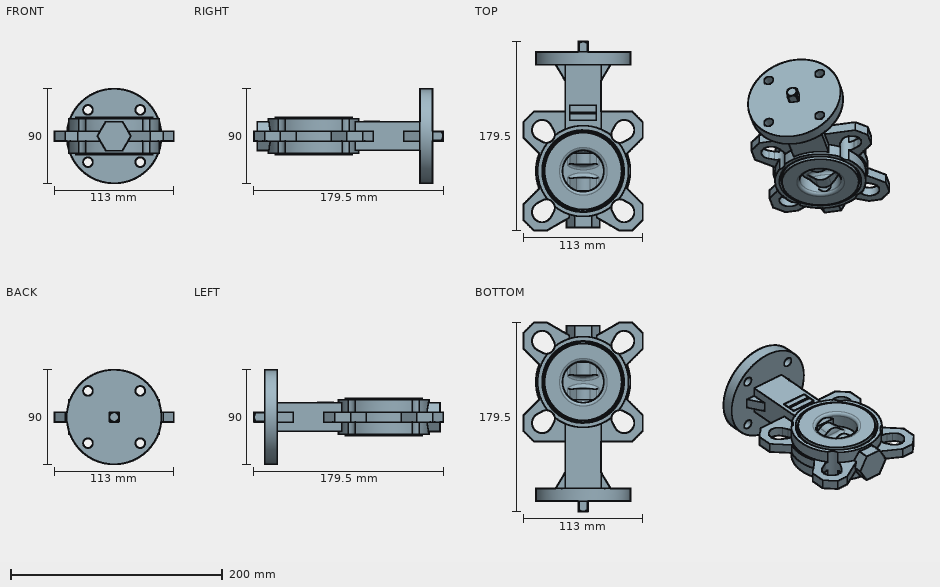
import cadquery as cq
import math


plate_thickness = 9.5
plate_radius = 44.9
lug_reach = 56.5
lug_chamfer = 10.0
lug_inner_y = 31.5
lower_edge_x = 34.5
lower_edge_angle = 30.0

outer_bolt_circle_radius = 55.0
outer_bolt_radius = 9.5
inner_bolt_circle_radius = 49.2
inner_bolt_radius = 7.9

body_radius = 43.0
body_height = 32.8
liner_height = 35.2
liner_radius = 36.5
groove_floor_radius = 37.7
groove_outer_radius = 39.0
groove_depth = 3.6
bore_radius = 19.5
bore_rounding = 3.0

stem_flat_distance = 16.9
lower_flat_distance = 18.7
flat_half_height = 11.3
flat_run_out_height = 14.4

disc_thickness = 4.3
hub_crown_radius = 10.2
hub_crown_half_width = 6.5
hub_dome_radius = 14.4
hub_shoulder_y = 10.5
hub_tip_y = 4.7
hub_foot_fillet = 3.8

neck_width = 34.0
neck_thickness = 27.3
flange_diameter = 90.0
flange_bottom_y = 100.7
flange_thickness = 12.2
flange_hole_offset = 24.8
flange_hole_diameter = 9.0
rib_half_width = 26.0
rib_bottom_y = 85.5
stem_top_y = 123.0
stem_square = 9.5
stem_corner_radius = 6.1
stem_chamfer = 1.6

name_plate_width = 25.1
name_plate_length = 6.5
name_plate_height = 0.4
name_plate_centres_y = (59.0, 51.2)

hex_corner_diameter = 31.8
hex_end_y = -53.5

flange_top_y = flange_bottom_y + flange_thickness


def disc_z(radius, height):
    """Cylinder along Z, centred on the origin."""
    return cq.Workplane("XY").circle(radius).extrude(height / 2, both=True)


def plane_y(y):
    """Plane across the stem axis, with its normal along +Y."""
    return cq.Workplane(cq.Plane((0, y, 0), xDir=(1, 0, 0), normal=(0, 1, 0)))


def plate_slab(points):
    """Outline in XY, extruded to the thickness of the lug plate."""
    return cq.Workplane("XY").polyline(points).close().extrude(plate_thickness / 2, both=True)


def make_lug_plate():
    chamfer_start = lug_reach - lug_chamfer
    lower_edge_y = -lug_reach + lower_edge_x * math.tan(math.radians(lower_edge_angle))
    side = [
        (chamfer_start, lug_reach),
        (lug_reach, chamfer_start),
        (lug_reach, lug_inner_y),
        (lug_reach - lug_inner_y, 0),
        (lug_reach, -lug_inner_y),
        (lug_reach, -chamfer_start),
        (chamfer_start, -lug_reach),
        (lower_edge_x, -lug_reach),
    ]
    mirrored_side = [(-x, y) for x, y in reversed(side)]
    lugs = plate_slab(side + [(0, lower_edge_y)] + mirrored_side)
    return lugs.union(disc_z(plate_radius, plate_thickness))


def make_bolt_slots():
    spacing = outer_bolt_circle_radius - inner_bolt_circle_radius
    tangent_angle = math.acos((outer_bolt_radius - inner_bolt_radius) / spacing)
    tangent_x = math.cos(tangent_angle)
    tangent_y = math.sin(tangent_angle)
    inner_x = inner_bolt_circle_radius - inner_bolt_radius * tangent_x
    inner_y = inner_bolt_radius * tangent_y
    outer_x = outer_bolt_circle_radius - outer_bolt_radius * tangent_x
    outer_y = outer_bolt_radius * tangent_y
    slot = (
        cq.Workplane("XY")
        .moveTo(inner_x, -inner_y)
        .lineTo(outer_x, -outer_y)
        .threePointArc((outer_bolt_circle_radius + outer_bolt_radius, 0), (outer_x, outer_y))
        .lineTo(inner_x, inner_y)
        .threePointArc((inner_bolt_circle_radius - inner_bolt_radius, 0), (inner_x, -inner_y))
        .close()
        .extrude(liner_height, both=True)
    )
    slots = cq.Workplane("XY")
    for angle in (45, 135, 225, 315):
        slots = slots.union(slot.rotate((0, 0, 0), (0, 0, 1), angle))
    return slots


def make_body_ring():
    rim = body_height / 2
    face = liner_height / 2
    floor = rim - groove_depth
    half_profile = [
        (liner_radius, face),
        (liner_radius, floor),
        (groove_floor_radius, floor),
        (groove_outer_radius, rim),
        (body_radius, rim),
    ]
    mirrored = [(r, -z) for r, z in reversed(half_profile)]
    profile = [(0, face)] + half_profile + mirrored + [(0, -face)]
    return cq.Workplane("XZ").polyline(profile).close().revolve(360, (0, 0), (0, 1))


def make_bore():
    bore = disc_z(bore_radius, liner_height)
    face = liner_height / 2
    straight = face - bore_rounding
    mouth_radius = bore_radius + bore_rounding
    middle = bore_rounding * (1 - math.sqrt(0.5))
    mouth = (
        cq.Workplane("XZ")
        .moveTo(0, straight)
        .lineTo(bore_radius, straight)
        .threePointArc((bore_radius + middle, face - middle), (mouth_radius, face))
        .lineTo(0, face)
        .close()
        .revolve(360, (0, 0), (0, 1))
    )
    return bore.union(mouth).union(mouth.mirror("XY"))


def make_bore_flat(distance):
    """Pad on the +Y side of the bore, with sloping run-outs towards both faces."""
    back = bore_radius + bore_rounding
    profile = [
        (distance, -flat_half_height),
        (distance, flat_half_height),
        (bore_radius, flat_run_out_height),
        (back, flat_half_height),
        (back, -flat_half_height),
        (bore_radius, -flat_run_out_height),
    ]
    return cq.Workplane("YZ").polyline(profile).close().extrude(bore_radius, both=True)


def make_hub():
    """Hub on the +Y side: crowned section with sloping flanks, ending in a dome near the middle."""
    flank_angle = math.asin(hub_crown_half_width / hub_crown_radius)
    flank_top_z = hub_crown_radius * math.cos(flank_angle)
    flank_bottom_x = hub_crown_radius / math.sin(flank_angle)
    section = (
        plane_y(0)
        .moveTo(flank_bottom_x, 0)
        .lineTo(hub_crown_half_width, flank_top_z)
        .threePointArc((0, hub_crown_radius), (-hub_crown_half_width, flank_top_z))
        .lineTo(-flank_bottom_x, 0)
        .lineTo(-hub_crown_half_width, -flank_top_z)
        .threePointArc((0, -hub_crown_radius), (hub_crown_half_width, -flank_top_z))
        .close()
        .extrude(bore_radius)
    )
    dome = (
        cq.Workplane("XY")
        .moveTo(hub_dome_radius, bore_radius)
        .lineTo(hub_dome_radius, hub_shoulder_y)
        .ellipseArc(
            hub_dome_radius,
            hub_shoulder_y - hub_tip_y,
            angle1=270,
            angle2=360,
            startAtCurrent=True,
            sense=-1,
        )
        .lineTo(0, bore_radius)
        .close()
        .revolve(360, (0, 0), (0, 1))
    )
    return section.intersect(dome)


def make_disc():
    """Disc closing the bore; a fillet runs around the foot of each hub on both faces."""
    hub = make_hub()
    disc = disc_z(bore_radius + bore_rounding, disc_thickness).union(hub).union(hub.mirror("XZ"))
    face = disc_thickness / 2
    margin = 0.2
    reach = bore_radius - margin
    for z in (-face, face):
        feet = cq.selectors.BoxSelector(
            (-reach, -reach, z - margin), (reach, reach, z + margin)
        )
        disc = disc.edges(feet).fillet(hub_foot_fillet)
    return disc


def make_neck():
    return plane_y(0).rect(neck_width, neck_thickness).extrude(flange_bottom_y)


def make_ribs():
    half_neck = neck_width / 2
    return plate_slab([
        (-rib_half_width, flange_bottom_y),
        (rib_half_width, flange_bottom_y),
        (half_neck, rib_bottom_y),
        (-half_neck, rib_bottom_y),
    ])


def make_name_plates():
    return (
        cq.Workplane("XY", origin=(0, 0, neck_thickness / 2))
        .pushPoints([(0, y) for y in name_plate_centres_y])
        .rect(name_plate_width, name_plate_length)
        .extrude(name_plate_height)
    )


def make_flange():
    hole_spacing = 2 * flange_hole_offset
    return (
        plane_y(flange_bottom_y)
        .circle(flange_diameter / 2)
        .extrude(flange_thickness)
        .faces(">Y")
        .workplane(origin=(0, flange_top_y, 0))
        .rect(hole_spacing, hole_spacing, forConstruction=True)
        .vertices()
        .hole(flange_hole_diameter)
    )


def make_stem():
    length = stem_top_y - flange_top_y
    square = plane_y(flange_top_y).rect(stem_square, stem_square).extrude(length)
    turned = (
        plane_y(flange_top_y)
        .circle(stem_corner_radius)
        .extrude(length)
        .faces(">Y")
        .chamfer(stem_chamfer)
    )
    return square.intersect(turned)


def make_hex_plug():
    return plane_y(hex_end_y).polygon(6, hex_corner_diameter).extrude(-hex_end_y)


stem_flat = make_bore_flat(stem_flat_distance)
lower_flat = make_bore_flat(lower_flat_distance).mirror("XZ")

housing = (
    make_lug_plate()
    .union(make_body_ring())
    .union(make_hex_plug())
    .union(make_neck())
    .union(make_ribs())
    .union(make_name_plates())
    .cut(make_bolt_slots())
    .cut(make_bore().cut(stem_flat).cut(lower_flat))
)

result = (
    housing
    .union(make_disc())
    .union(make_flange())
    .union(make_stem())
)